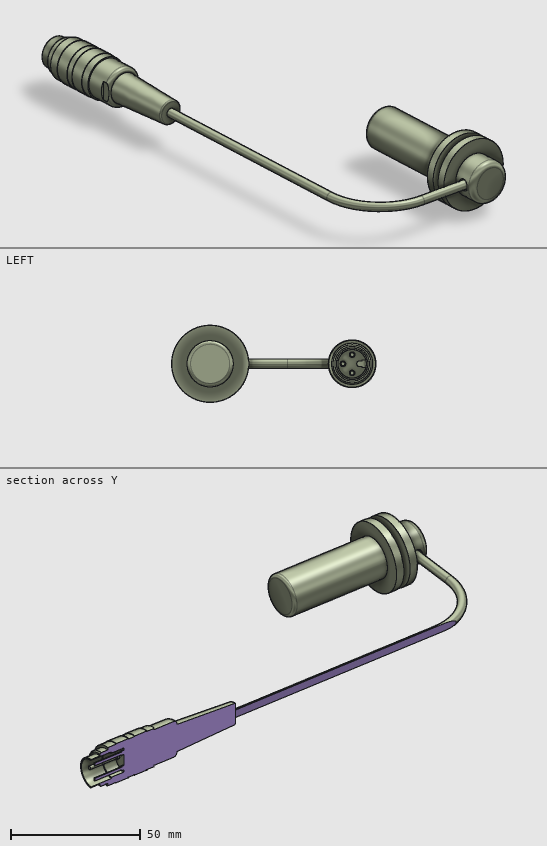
import cadquery as cq


SHELL_DIAMETER = 13.5
COLLAR_DIAMETER = 16.0
SLEEVE_DIAMETER = 18.1
GRIP_BAND_DIAMETER = 18.5
REAR_DIAMETER = 17.0
BOOT_ROOT_DIAMETER = 13.0
BOOT_TIP_DIAMETER = 10.2
SHELL_END = 4.3
COLLAR_END = 8.0
SLEEVE_END = 30.5
REAR_END = 41.5
BOOT_END = 69.8
COLLAR_CHAMFER = 0.5
REAR_FILLET = 1.8
BOOT_FILLET = 0.5

GRIP_BAND_WIDTH = 6.0
GRIP_BAND_STARTS = (12.2, 21.0)

FLAT_START = 38.0
FLAT_SPACING = 15.0

SOCKET_DIAMETER = 12.2
SOCKET_STEP_DIAMETER = 11.0
SOCKET_STEP_X = 9.9
SOCKET_FLOOR_X = 15.8
PIN_DIAMETER = 1.5
PIN_BASE_DIAMETER = 2.2
PIN_TIP_X = 2.0
PIN_BASE_HEIGHT = 1.0
PIN_CIRCLE_RADIUS = 3.5
PIN_COUNT = 3
PIN_FIRST_ANGLE = -90
PIN_SPACING_ANGLE = 90
KEY_NOSE_WIDTH = 2.2
KEY_ROOT_WIDTH = 3.0
KEY_NOSE_RADIUS = 1.8
KEY_ROOT_RADIUS = 3.7
KEY_START_X = 11.8

SENSOR_DIAMETER = 18.0
SENSOR_FRONT = 132.0
SENSOR_REAR = 197.1
SENSOR_Y = 55.0
SENSOR_FRONT_FILLET = 1.4
SENSOR_REAR_FILLET = 2.4

CABLE_DIAMETER = 3.7
CABLE_BEND_RADIUS = 25.0
CABLE_EXIT_X = 191.4
CABLE_HOLE_DIAMETER = 5.0
CABLE_HOLE_FLOOR_Y = SENSOR_Y - 5.0

RING_DIAMETER = 30.0
RING_GROOVE_DIAMETER = 20.0
RING_START = 177.0
RING_FLANGE_WIDTH = 3.5
RING_GROOVE_WIDTH = 3.0
RING_HOLE_DIAMETER = 1.5


def x_cylinder(diameter, start, end, y=0.0):
    """Solid cylinder parallel to X between two X positions."""
    return cq.Workplane("YZ", origin=(start, y, 0)).circle(diameter / 2).extrude(end - start)


def make_front_sections():
    """Socket shell, coupling collar and gripped sleeve."""
    shell = x_cylinder(SHELL_DIAMETER, 0, SHELL_END)
    collar = x_cylinder(COLLAR_DIAMETER, SHELL_END, COLLAR_END).faces("<X").chamfer(COLLAR_CHAMFER)
    sleeve = x_cylinder(SLEEVE_DIAMETER, COLLAR_END, SLEEVE_END)
    for start in GRIP_BAND_STARTS:
        sleeve = sleeve.union(x_cylinder(GRIP_BAND_DIAMETER, start, start + GRIP_BAND_WIDTH))
    return shell.union(collar).union(sleeve)


def make_rear_section():
    """Rounded rear sleeve with a wrench flat on each Y side."""
    rear = x_cylinder(REAR_DIAMETER, SLEEVE_END, REAR_END).faces(">X").edges().fillet(REAR_FILLET)
    flat_length = REAR_END - FLAT_START
    cut_depth = REAR_DIAMETER - FLAT_SPACING
    for side in (-1, 1):
        flat_center = (FLAT_START + flat_length / 2, side * (FLAT_SPACING + cut_depth) / 2, 0)
        rear = rear.cut(cq.Workplane("XY").box(flat_length, cut_depth, REAR_DIAMETER).translate(flat_center))
    return rear


def make_boot():
    """Tapered strain relief at the cable end."""
    return (
        cq.Workplane("YZ", origin=(REAR_END, 0, 0))
        .circle(BOOT_ROOT_DIAMETER / 2)
        .workplane(offset=BOOT_END - REAR_END)
        .circle(BOOT_TIP_DIAMETER / 2)
        .loft()
        .faces(">X")
        .edges()
        .fillet(BOOT_FILLET)
    )


def pin_set(diameter, start):
    """Cylinders on the pin circle, from an X position to the socket floor."""
    return (
        cq.Workplane("YZ", origin=(start, 0, 0))
        .polarArray(PIN_CIRCLE_RADIUS, PIN_FIRST_ANGLE, PIN_SPACING_ANGLE, PIN_COUNT, fill=False)
        .circle(diameter / 2)
        .extrude(SOCKET_FLOOR_X - start)
    )


def make_pins():
    """Contact pins, each with a wider base on the socket floor."""
    return pin_set(PIN_DIAMETER, PIN_TIP_X).union(pin_set(PIN_BASE_DIAMETER, SOCKET_FLOOR_X - PIN_BASE_HEIGHT))


def make_key():
    """Round-nosed key on the -Y wall of the socket, wider at its root."""
    wall_y = -SOCKET_DIAMETER / 2
    nose_end = KEY_NOSE_RADIUS + KEY_NOSE_WIDTH / 2
    return (
        cq.Workplane("YZ", origin=(KEY_START_X, 0, 0))
        .moveTo(wall_y, KEY_ROOT_WIDTH / 2)
        .lineTo(-KEY_ROOT_RADIUS, KEY_ROOT_WIDTH / 2)
        .lineTo(-KEY_ROOT_RADIUS, KEY_NOSE_WIDTH / 2)
        .lineTo(-nose_end, KEY_NOSE_WIDTH / 2)
        .threePointArc((-KEY_NOSE_RADIUS, 0), (-nose_end, -KEY_NOSE_WIDTH / 2))
        .lineTo(-KEY_ROOT_RADIUS, -KEY_NOSE_WIDTH / 2)
        .lineTo(-KEY_ROOT_RADIUS, -KEY_ROOT_WIDTH / 2)
        .lineTo(wall_y, -KEY_ROOT_WIDTH / 2)
        .close()
        .extrude(SOCKET_FLOOR_X - KEY_START_X)
    )


def make_plug():
    socket = x_cylinder(SOCKET_DIAMETER, 0, SOCKET_STEP_X).union(
        x_cylinder(SOCKET_STEP_DIAMETER, SOCKET_STEP_X, SOCKET_FLOOR_X)
    )
    outside = make_front_sections().union(make_rear_section()).union(make_boot())
    return outside.cut(socket).union(make_pins()).union(make_key())


def make_sensor():
    barrel = x_cylinder(SENSOR_DIAMETER, SENSOR_FRONT, SENSOR_REAR, y=SENSOR_Y)
    barrel = barrel.faces("<X").edges().fillet(SENSOR_FRONT_FILLET)
    barrel = barrel.faces(">X").edges().fillet(SENSOR_REAR_FILLET)
    cable_hole = (
        cq.Workplane("XZ", origin=(CABLE_EXIT_X, CABLE_HOLE_FLOOR_Y, 0))
        .circle(CABLE_HOLE_DIAMETER / 2)
        .extrude(SENSOR_DIAMETER)
    )
    return barrel.cut(cable_hole)


def make_ring():
    groove_start = RING_START + RING_FLANGE_WIDTH
    groove_end = groove_start + RING_GROOVE_WIDTH
    ring_end = groove_end + RING_FLANGE_WIDTH
    ring = (
        x_cylinder(RING_DIAMETER, RING_START, groove_start, y=SENSOR_Y)
        .union(x_cylinder(RING_GROOVE_DIAMETER, groove_start, groove_end, y=SENSOR_Y))
        .union(x_cylinder(RING_DIAMETER, groove_end, ring_end, y=SENSOR_Y))
        .cut(x_cylinder(SENSOR_DIAMETER, RING_START, ring_end, y=SENSOR_Y))
    )
    radial_hole = (
        cq.Workplane("XY", origin=((groove_start + groove_end) / 2, SENSOR_Y, 0))
        .circle(RING_HOLE_DIAMETER / 2)
        .extrude(RING_DIAMETER)
    )
    return ring.cut(radial_hole)


def make_cable():
    bend_start_x = CABLE_EXIT_X - CABLE_BEND_RADIUS
    path = (
        cq.Workplane("XY", origin=(BOOT_END, 0, 0))
        .moveTo(0, 0)
        .lineTo(bend_start_x - BOOT_END, 0)
        .tangentArcPoint((CABLE_BEND_RADIUS, CABLE_BEND_RADIUS), relative=True)
        .lineTo(CABLE_EXIT_X - BOOT_END, CABLE_HOLE_FLOOR_Y)
    )
    return cq.Workplane("YZ", origin=(BOOT_END, 0, 0)).circle(CABLE_DIAMETER / 2).sweep(path)


plug = make_plug()
cable = make_cable()
sensor = make_sensor()
ring = make_ring()

bodies = [plug, cable, sensor, ring]
result = cq.Compound.makeCompound([body.solids().val() for body in bodies])